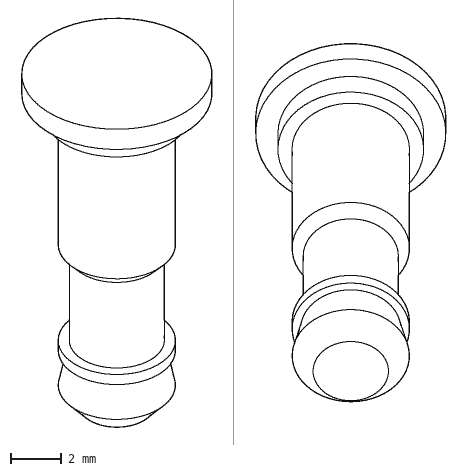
import cadquery as cq

total_height = 17.1
barb_edge_height = 1.0
barb_top_height = 2.7
collar_top_height = 3.2
taper_bottom_height = 7.4
taper_top_height = 7.9
shoulder_bottom_height = 14.3
head_bottom_height = 15.3
head_rim_height = 16.3

head_radius = 3.8
shoulder_radius = 2.9
shank_radius = 2.35
neck_radius = 1.9
barb_top_radius = 2.0
tip_radius = 1.5

dome_rise = total_height - head_rim_height
dome_radius = (head_radius**2 + dome_rise**2) / (2 * dome_rise)
dome_mid_radius = head_radius / 2
dome_mid_height = total_height - dome_radius + (dome_radius**2 - dome_mid_radius**2) ** 0.5

profile = (
    cq.Workplane("XZ")
    .lineTo(tip_radius, 0)
    .lineTo(shank_radius, barb_edge_height)
    .lineTo(barb_top_radius, barb_top_height)
    .lineTo(shank_radius, barb_top_height)
    .lineTo(shank_radius, collar_top_height)
    .lineTo(neck_radius, collar_top_height)
    .lineTo(neck_radius, taper_bottom_height)
    .lineTo(shank_radius, taper_top_height)
    .lineTo(shank_radius, shoulder_bottom_height)
    .lineTo(shoulder_radius, shoulder_bottom_height)
    .lineTo(shoulder_radius, head_bottom_height)
    .lineTo(head_radius, head_bottom_height)
    .lineTo(head_radius, head_rim_height)
    .threePointArc((dome_mid_radius, dome_mid_height), (0, total_height))
    .close()
)

result = profile.revolve(360, (0, 0, 0), (0, 1, 0))